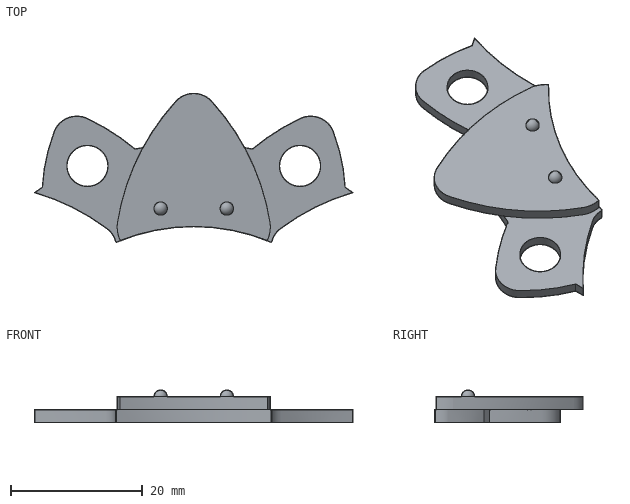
import cadquery as cq

plate_thickness = 2.0
bump_radius = 1.0
bump_x = 5.05
bump_y = 5.15
eye_diameter = 6.2
eye_x = 16.15
eye_y = 11.6

center_tip = (11.7, 0.0)
front_apex_y = 2.35

front_radius = (center_tip[0] ** 2 + front_apex_y ** 2) / (2 * front_apex_y)
arc_center_y = front_apex_y - front_radius
back_corner = (8.9, 14.2)
back_radius = (back_corner[0] ** 2 + (back_corner[1] - arc_center_y) ** 2) ** 0.5
back_apex_y = arc_center_y + back_radius

wing_crest = (16.05, 18.78)
wing_back_middle = (12.5, 16.8)
wing_crown = (19.0, 18.95)
wing_shoulder = (21.35, 16.5)
wing_side_middle = (22.5, 12.5)
wing_notch = (23.05, 8.35)
wing_tip = (24.2, 7.55)
wing_front_middle = (18.5, 5.3)
wing_front_end = (13.2, 2.1)
throat_middle = (12.35, 1.15)
throat_end = (11.9, 0.15)

shield_setback = 0.05
shield_front_apex_y = front_apex_y + shield_setback
shield_corner = (11.2, 0.3)
shield_heel_middle = (11.55, 1.45)
shield_widest = (11.6, 2.9)
shield_side_middle = (8.4, 13.05)
shield_shoulder = (2.85, 21.3)
shield_peak_y = 22.65


def mirrored(point):
    """Return the matching point on the other side of X = 0."""
    return (-point[0], point[1])


def make_base():
    """Lower plate with two wings, each with a round through hole."""
    outline = (
        cq.Workplane("XY")
        .moveTo(*mirrored(center_tip))
        .threePointArc((0, front_apex_y), center_tip)
        .lineTo(*throat_end)
        .threePointArc(throat_middle, wing_front_end)
        .threePointArc(wing_front_middle, wing_tip)
        .lineTo(*wing_notch)
        .threePointArc(wing_side_middle, wing_shoulder)
        .threePointArc(wing_crown, wing_crest)
        .threePointArc(wing_back_middle, back_corner)
        .threePointArc((0, back_apex_y), mirrored(back_corner))
        .threePointArc(mirrored(wing_back_middle), mirrored(wing_crest))
        .threePointArc(mirrored(wing_crown), mirrored(wing_shoulder))
        .threePointArc(mirrored(wing_side_middle), mirrored(wing_notch))
        .lineTo(*mirrored(wing_tip))
        .threePointArc(mirrored(wing_front_middle), mirrored(wing_front_end))
        .threePointArc(mirrored(throat_middle), mirrored(throat_end))
        .close()
    )
    eyes = (
        cq.Workplane("XY")
        .pushPoints([(-eye_x, eye_y), (eye_x, eye_y)])
        .circle(eye_diameter / 2)
        .extrude(plate_thickness)
    )
    return outline.extrude(plate_thickness).cut(eyes)


def make_shield():
    """Upper plate, a pointed arch with a rounded peak."""
    outline = (
        cq.Workplane("XY", origin=(0, 0, plate_thickness))
        .moveTo(*mirrored(shield_corner))
        .threePointArc((0, shield_front_apex_y), shield_corner)
        .threePointArc(shield_heel_middle, shield_widest)
        .threePointArc(shield_side_middle, shield_shoulder)
        .threePointArc((0, shield_peak_y), mirrored(shield_shoulder))
        .threePointArc(mirrored(shield_side_middle), mirrored(shield_widest))
        .threePointArc(mirrored(shield_heel_middle), mirrored(shield_corner))
        .close()
    )
    return outline.extrude(plate_thickness)


def make_bumps():
    """Balls centred on the shield's top face, so half of each stands proud."""
    return (
        cq.Workplane("XY", origin=(0, 0, 2 * plate_thickness))
        .pushPoints([(-bump_x, bump_y), (bump_x, bump_y)])
        .sphere(bump_radius)
    )


result = make_base().union(make_shield()).union(make_bumps())